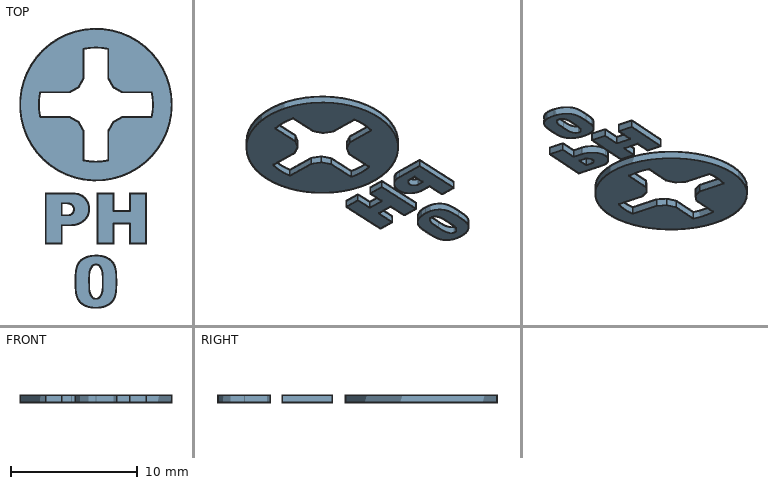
import cadquery as cq

thickness = 0.6

disc_radius = 6.0
cross_radius = 4.5
arm_half_width = 0.97
corner_start = 2.07
corner_middle = 1.37

word_width = 7.95
letter_height = 3.97
letter_top = -7.02
letter_bottom = letter_top - letter_height
stem_width = 1.28

p_left = -word_width / 2
p_stem_right = p_left + stem_width
bowl_right = -0.53
bowl_middle = -8.25
bowl_bottom = -9.53
bowl_top_start = -1.75
bowl_bottom_end = -1.95
counter_top = -7.8
counter_height = 0.93
counter_right = -1.75

h_left = 0.1
h_right = word_width / 2
bar_top = -8.38
bar_height = 1.01

overall_length = 22.05
zero_half_width = 1.63
zero_half_height = 2.07
zero_middle = disc_radius - overall_length + zero_half_height
hole_half_width = 0.53
hole_half_height = 1.35

round_fullness = 0.707
zero_fullness = 0.774


def make_disc():
    disc = cq.Workplane("XY").circle(disc_radius).extrude(thickness)
    corner = [
        (arm_half_width, corner_start),
        (corner_middle, corner_middle),
        (corner_start, arm_half_width),
    ]
    outline = []
    for x_sign, y_sign, step in [(1, 1, 1), (1, -1, -1), (-1, -1, 1), (-1, 1, -1)]:
        arm_ends = [(arm_half_width, disc_radius), *corner, (disc_radius, arm_half_width)]
        outline += [(x_sign * x, y_sign * y) for x, y in arm_ends[::step]]
    cross = cq.Workplane("XY").polyline(outline).close().extrude(thickness)
    arm_limit = cq.Workplane("XY").circle(cross_radius).extrude(thickness)
    return disc.cut(cross.intersect(arm_limit))


def make_letter_p():
    lower_curve_width = bowl_right - bowl_bottom_end
    lower_curve_height = bowl_middle - bowl_bottom
    upper_curve_width = bowl_right - bowl_top_start
    upper_curve_height = letter_top - bowl_middle
    upper_diagonal = (
        bowl_top_start + round_fullness * upper_curve_width,
        bowl_middle + round_fullness * upper_curve_height,
    )
    lower_diagonal = (
        bowl_bottom_end + round_fullness * lower_curve_width,
        bowl_middle - round_fullness * lower_curve_height,
    )
    bowl_side = (bowl_right, bowl_middle)
    lower_end = (bowl_bottom_end, bowl_bottom)
    letter = (
        cq.Workplane("XY")
        .moveTo(p_left, letter_bottom)
        .lineTo(p_left, letter_top)
        .lineTo(bowl_top_start, letter_top)
        .spline([upper_diagonal, bowl_side], tangents=[(1, 0), (0, -1)], includeCurrent=True)
        .spline([lower_diagonal, lower_end], tangents=[(0, -1), (-1, 0)], includeCurrent=True)
        .lineTo(p_stem_right, bowl_bottom)
        .lineTo(p_stem_right, letter_bottom)
        .close()
        .extrude(thickness)
    )
    counter_radius = counter_height / 2
    counter_arc_start = counter_right - counter_radius
    counter_bottom = counter_top - counter_height
    counter = (
        cq.Workplane("XY")
        .moveTo(p_stem_right, counter_bottom)
        .lineTo(p_stem_right, counter_top)
        .lineTo(counter_arc_start, counter_top)
        .threePointArc(
            (counter_right, counter_top - counter_radius),
            (counter_arc_start, counter_bottom),
        )
        .close()
        .extrude(thickness)
    )
    return letter.cut(counter)


def make_letter_h():
    width = h_right - h_left
    bar = cq.Workplane("XY").box(width, bar_height, thickness, centered=False)
    letter = bar.translate((h_left, bar_top - bar_height, 0))
    for stem_left in (h_left, h_right - stem_width):
        stem = cq.Workplane("XY").box(stem_width, letter_height, thickness, centered=False)
        letter = letter.union(stem.translate((stem_left, letter_bottom, 0)))
    return letter


def make_squarish_oval(half_width, half_height):
    diagonal_x = zero_fullness * half_width
    diagonal_y = zero_fullness * half_height
    oval = (
        cq.Workplane("XY", origin=(0, zero_middle, 0))
        .moveTo(half_width, 0)
        .spline(
            [(diagonal_x, diagonal_y), (0, half_height)],
            tangents=[(0, 1), (-1, 0)],
            includeCurrent=True,
        )
        .spline(
            [(-diagonal_x, diagonal_y), (-half_width, 0)],
            tangents=[(-1, 0), (0, -1)],
            includeCurrent=True,
        )
        .spline(
            [(-diagonal_x, -diagonal_y), (0, -half_height)],
            tangents=[(0, -1), (1, 0)],
            includeCurrent=True,
        )
        .spline(
            [(diagonal_x, -diagonal_y), (half_width, 0)],
            tangents=[(1, 0), (0, 1)],
            includeCurrent=True,
        )
        .close()
    )
    return oval.extrude(thickness)


def make_digit_zero():
    outside = make_squarish_oval(zero_half_width, zero_half_height)
    hole = make_squarish_oval(hole_half_width, hole_half_height)
    return outside.cut(hole)


disc = make_disc()
letter_p = make_letter_p()
letter_h = make_letter_h()
digit_zero = make_digit_zero()

result = cq.Compound.makeCompound(
    [body.solids().val() for body in (disc, letter_p, letter_h, digit_zero)]
)